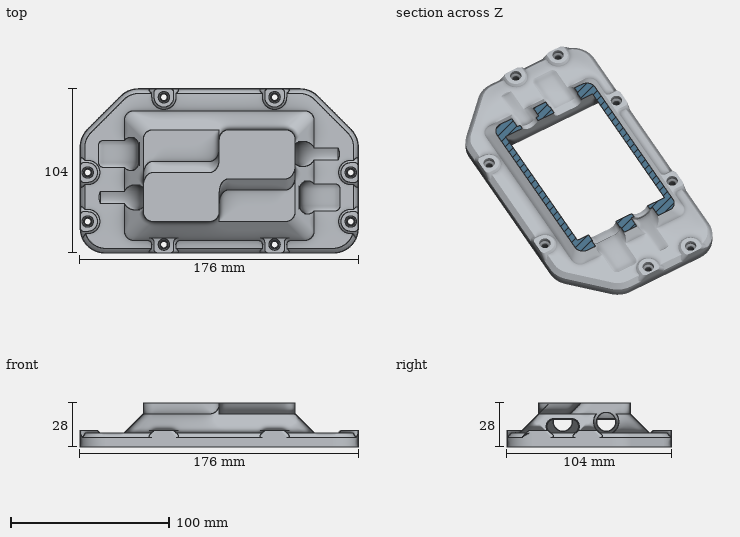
import cadquery as cq
import math

PLATE_LENGTH = 176.0
PLATE_WIDTH = 104.0
PLATE_TOP = 9.0
CORNER_RADIUS = 16.0
CLIPPED_CORNER = 30.4
RIM_CHAMFER = 3.0

ROOT_Z = 4.0

HUMP_CENTER_Y = -3.0
HUMP_TOP = 21.0
SHELF_LENGTH = 96.0
SHELF_WIDTH = 58.0
HUMP_RADIUS = 6.0

BLOCK_TOP = 28.0
BLOCK_OVERLAP = 2.0

CAVITY_CEILING = 18.0
END_WALL = 3.0
SIDE_WALL = 3.0

ENTRY_OFFSET_Y = 13.75
ENTRY_BOTTOM = 8.0
PORT_END_X = 76.3
PORT_RADIUS = 8.0
PORT_BORE_RADIUS = 6.0
PORT_END_CHAMFER = 1.2
SLOT_WIDTH = 21.0
SLOT_HEIGHT = 10.0
SLOT_END_X = 78.2
SLOT_END_RADIUS = 4.8
SLOT_LIP_X = 50.5
SLOT_LIP = 0.5

BOSS_RISE = 1.5
BOSS_TOP_RADIUS = 6.2
BOSS_CORNER_RADIUS = 2.0
LONG_SIDE_BOSS_X = 35.0
LONG_SIDE_BOSS_Y = 46.6
END_BOSS_X = 83.2
END_BOSS_YS = (-1.0, -32.0)

SCREW_HOLE_DIAMETER = 4.2
SCREW_HEAD_DIAMETER = 7.2
SCREW_HEAD_DEPTH = 3.0
SCREW_HOLE_CHAMFER = 0.5

WEB_REACH = 15.0
WEB_TOP = 13.0
WEB_BLEND_RADIUS = 4.0

HALF_LENGTH = PLATE_LENGTH / 2
HALF_WIDTH = PLATE_WIDTH / 2
SHELF_HALF_LENGTH = SHELF_LENGTH / 2
SHELF_HALF_WIDTH = SHELF_WIDTH / 2
BLOCK_RISE = BLOCK_TOP - HUMP_TOP
BLOCK_MIDDLE_Z = (HUMP_TOP + BLOCK_TOP) / 2
RAMP_MIDDLE_Y = HUMP_CENTER_Y + BLOCK_OVERLAP + BLOCK_RISE / 2
BOSS_TOP = PLATE_TOP + BOSS_RISE


def nearest(x, y, z):
    """Selector for the edge whose centre is nearest to the point."""
    return cq.selectors.NearestToPointSelector((x, y, z))


def plate_prism(height):
    """Plate outline with the two +Y corners clipped at 45 degrees, extruded from Z = 0."""
    points = [
        (-HALF_LENGTH, -HALF_WIDTH),
        (HALF_LENGTH, -HALF_WIDTH),
        (HALF_LENGTH, HALF_WIDTH - CLIPPED_CORNER),
        (HALF_LENGTH - CLIPPED_CORNER, HALF_WIDTH),
        (CLIPPED_CORNER - HALF_LENGTH, HALF_WIDTH),
        (-HALF_LENGTH, HALF_WIDTH - CLIPPED_CORNER),
    ]
    outline = cq.Workplane("XY").polyline(points).close()
    return outline.extrude(height).edges("|Z").fillet(CORNER_RADIUS)


def hump_section(z):
    """Rounded rectangle of the hump at height z; its sides lean inwards at 45 degrees."""
    spread = 2 * (HUMP_TOP - z)
    section = cq.Sketch().rect(SHELF_LENGTH + spread, SHELF_WIDTH + spread)
    section = section.vertices().fillet(HUMP_RADIUS)
    return section.moved(cq.Location(cq.Vector(0, HUMP_CENTER_Y, z)))


def hump():
    """Hump from the plate up to its shelf."""
    sections = [hump_section(z) for z in (ROOT_Z, HUMP_TOP)]
    return cq.Workplane("XY").placeSketch(*sections).loft(ruled=True)


def both_ends(shape):
    """The shape and its copy turned half a turn about the hump's centre line."""
    return [shape, shape.rotate((0, HUMP_CENTER_Y, 0), (0, HUMP_CENTER_Y, 1), 180)]


def shelf_cut():
    """Room above the shelf in the -X half, ending in a 45 degree face towards the block."""
    south_top = HUMP_CENTER_Y + BLOCK_OVERLAP
    south_bottom = south_top + BLOCK_RISE
    profile = [
        (south_bottom, HUMP_TOP),
        (HALF_WIDTH, HUMP_TOP),
        (HALF_WIDTH, BLOCK_TOP),
        (south_top, BLOCK_TOP),
    ]
    room = cq.Workplane("YZ").polyline(profile).close().extrude(-HALF_LENGTH)
    return room.edges(nearest(0, RAMP_MIDDLE_Y, BLOCK_MIDDLE_Z)).fillet(HUMP_RADIUS)


def wedge():
    """Hump slope continued upwards behind the rounded inner corner of the -X block."""
    south = HUMP_CENTER_Y - SHELF_HALF_WIDTH
    north = south + BLOCK_RISE
    profile = [(south, HUMP_TOP), (north, HUMP_TOP), (north, BLOCK_TOP)]
    return cq.Workplane("YZ").polyline(profile).close().extrude(-HUMP_RADIUS)


def blocks():
    """Two blocks with upright outer walls, rounded corners and a 45 degree face each."""
    body = cq.Workplane("XY").box(SHELF_LENGTH, SHELF_WIDTH, BLOCK_RISE, centered=(True, True, False))
    body = body.translate((0, HUMP_CENTER_Y, HUMP_TOP)).edges("|Z").fillet(HUMP_RADIUS)
    for cut in both_ends(shelf_cut()):
        body = body.cut(cut)
    for sign in (-1, 1):
        ramp_y = HUMP_CENTER_Y - sign * (RAMP_MIDDLE_Y - HUMP_CENTER_Y)
        corner_y = HUMP_CENTER_Y + sign * SHELF_HALF_WIDTH
        body = body.edges(nearest(sign * SHELF_HALF_LENGTH, ramp_y, BLOCK_MIDDLE_Z)).fillet(HUMP_RADIUS)
        body = body.edges(nearest(0, corner_y, BLOCK_MIDDLE_Z)).fillet(HUMP_RADIUS)
    for piece in both_ends(wedge()):
        body = body.union(piece)
    return body


def cavity():
    """Hollow open at the bottom: upright ends, long sides parallel to the hump down to the plate."""
    length = SHELF_LENGTH - 2 * END_WALL
    spread = HUMP_TOP - CAVITY_CEILING - SIDE_WALL * math.sqrt(2)
    ceiling_half = SHELF_HALF_WIDTH + spread
    floor_half = ceiling_half + CAVITY_CEILING - PLATE_TOP
    half = [(floor_half, 0), (floor_half, PLATE_TOP), (ceiling_half, CAVITY_CEILING)]
    mirrored_half = [(-y, z) for y, z in reversed(half)]
    profile = cq.Workplane("YZ", origin=(0, HUMP_CENTER_Y, 0)).polyline(half + mirrored_half).close()
    return profile.extrude(length / 2, both=True)


def port_cut():
    """Round entry at the -X end: wide groove up to the end wall, then a bore through the wall."""
    length = PORT_END_X - SHELF_HALF_LENGTH
    z = ENTRY_BOTTOM + PORT_RADIUS
    y = HUMP_CENTER_Y - ENTRY_OFFSET_Y
    groove = cq.Workplane("YZ", origin=(-PORT_END_X, y, z)).circle(PORT_RADIUS).extrude(length)
    groove = groove.faces("<X").chamfer(PORT_END_CHAMFER)
    bore = cq.Workplane("YZ", origin=(-SHELF_HALF_LENGTH, y, z)).circle(PORT_BORE_RADIUS).extrude(END_WALL)
    return groove.union(bore)


def slot_profile(x, inset):
    """Workplane across X at the given place with the slot's rounded outline, shrunk by inset."""
    origin = (x, HUMP_CENTER_Y + ENTRY_OFFSET_Y, ENTRY_BOTTOM + SLOT_HEIGHT / 2)
    return cq.Workplane("YZ", origin=origin).slot2D(SLOT_WIDTH - 2 * inset, SLOT_HEIGHT - 2 * inset)


def slot_cut():
    """Flat entry at the -X end: slot with a rounded outer end, then a tighter one through the wall."""
    groove = slot_profile(-SLOT_END_X, 0).extrude(SLOT_END_X - SLOT_LIP_X)
    groove = groove.faces("<X").edges().fillet(SLOT_END_RADIUS)
    wall_length = SLOT_LIP_X - SHELF_HALF_LENGTH + END_WALL
    return groove.union(slot_profile(-SLOT_LIP_X, SLOT_LIP).extrude(wall_length))


def flank_half_width(z):
    """Half width of a boss at height z; its flanks lean inwards at 45 degrees."""
    return BOSS_TOP_RADIUS + BOSS_TOP - z


def boss_tab(length, top):
    """Straight ridge with the boss's flanks, from the origin along -Y, or +Y if length is negative."""
    corners = [(flank_half_width(z), z) for z in (ROOT_Z, top)]
    mirrored_corners = [(-x, z) for x, z in reversed(corners)]
    return cq.Workplane("XZ").polyline(corners + mirrored_corners).close().extrude(length)


def boss(edge_distance):
    """Screw boss at the origin: round towards +Y, straight out to the plate side at -Y."""
    half_profile = [
        (0, ROOT_Z),
        (flank_half_width(ROOT_Z), ROOT_Z),
        (BOSS_TOP_RADIUS, BOSS_TOP),
        (0, BOSS_TOP),
    ]
    round_end = cq.Workplane("XZ").polyline(half_profile).close().revolve(180, (0, 0), (0, 1))
    body = boss_tab(edge_distance, BOSS_TOP).union(round_end)
    middle_z = (ROOT_Z + BOSS_TOP) / 2
    for x in (-flank_half_width(middle_z), flank_half_width(middle_z)):
        body = body.edges(nearest(x, -edge_distance, middle_z)).fillet(BOSS_CORNER_RADIUS)
    return body


def screw_cut(x, y):
    """Through hole with a counterbore and a chamfered edge on the counterbore's floor."""
    floor_z = BOSS_TOP - SCREW_HEAD_DEPTH
    edge_radius = SCREW_HOLE_DIAMETER / 2 + SCREW_HOLE_CHAMFER
    hole = cq.Workplane("XY").circle(SCREW_HOLE_DIAMETER / 2).extrude(BOSS_TOP)
    head = cq.Workplane("XY", origin=(0, 0, floor_z)).circle(SCREW_HEAD_DIAMETER / 2)
    head = head.extrude(SCREW_HEAD_DEPTH)
    chamfer = cq.Workplane("XY", origin=(0, 0, floor_z)).circle(edge_radius)
    chamfer = chamfer.extrude(-SCREW_HOLE_CHAMFER, taper=45)
    return hole.union(head).union(chamfer).translate((x, y, 0))


def all_bosses():
    """Every boss in place, trimmed to the plate outline."""
    long_side_distance = HALF_WIDTH - LONG_SIDE_BOSS_Y
    end_distance = HALF_LENGTH - END_BOSS_X
    front_boss = boss(long_side_distance)
    back_boss = front_boss.rotate((0, 0, 0), (0, 0, 1), 180)
    end_boss = boss(end_distance)
    bosses = cq.Workplane("XY")
    for sign in (-1, 1):
        x = sign * LONG_SIDE_BOSS_X
        bosses = bosses.add(front_boss.translate((x, -LONG_SIDE_BOSS_Y, 0)))
        bosses = bosses.add(back_boss.translate((x, LONG_SIDE_BOSS_Y, 0)))
        turned = end_boss.rotate((0, 0, 0), (0, 0, 1), sign * 90)
        for y in END_BOSS_YS:
            bosses = bosses.add(turned.translate((sign * END_BOSS_X, y, 0)))
    return bosses.combine().intersect(plate_prism(BOSS_TOP))


def hump_with_webs():
    """Hump joined to the -Y bosses by straight webs with rounded inner corners.

    The webs start taller than the bosses so that the rounding runs past the boss height, and are
    then trimmed level with the bosses.
    """
    plain_hump = hump()
    body = plain_hump
    z = (ROOT_Z + WEB_TOP) / 2
    y = HUMP_CENTER_Y - SHELF_HALF_WIDTH - (HUMP_TOP - z)
    for center_x in (-LONG_SIDE_BOSS_X, LONG_SIDE_BOSS_X):
        web = boss_tab(-WEB_REACH, WEB_TOP)
        body = body.union(web.translate((center_x, -LONG_SIDE_BOSS_Y, 0)))
        for x in (center_x - flank_half_width(z), center_x + flank_half_width(z)):
            body = body.edges(nearest(x, y, z)).fillet(WEB_BLEND_RADIUS)
    return body.intersect(plate_prism(BOSS_TOP)).union(plain_hump)


screw_centers = [(sx * LONG_SIDE_BOSS_X, sy * LONG_SIDE_BOSS_Y) for sx in (-1, 1) for sy in (-1, 1)]
screw_centers += [(sx * END_BOSS_X, y) for sx in (-1, 1) for y in END_BOSS_YS]

body = plate_prism(PLATE_TOP).faces(">Z").chamfer(RIM_CHAMFER)
body = body.union(hump_with_webs()).union(all_bosses())
body = body.union(blocks()).cut(cavity())
for entry in both_ends(port_cut()) + both_ends(slot_cut()):
    body = body.cut(entry)
for center in screw_centers:
    body = body.cut(screw_cut(*center))

result = body